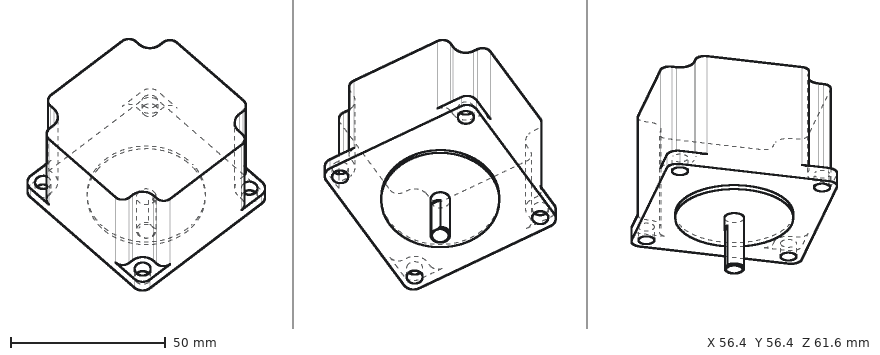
import cadquery as cq

width = 56.4
total_length = 61.6
shaft_reach = 20.6
housing_top = total_length - shaft_reach
flange_thickness = 4.85
flange_corner_radius = 3.6

hole_spacing = 47.1
hole_diameter = 5.2
relief_radius = 4.75
relief_edge_radius = 3.1

pilot_diameter = 38.2
pilot_height = 1.5
shaft_diameter = 6.35
shaft_chamfer = 0.5
flat_depth = 0.5
flat_start = 5.55


def make_flange():
    plate = cq.Workplane("XY").rect(width, width).extrude(flange_thickness)
    return plate.edges("|Z").fillet(flange_corner_radius)


def make_relief(x_sign, y_sign):
    """Cutter clearing one corner of the housing above the flange."""
    height = housing_top - flange_thickness
    side = (width - hole_spacing) / 2 + relief_radius
    center = (width - side) / 2
    block = (
        cq.Workplane("XY", origin=(0, 0, flange_thickness))
        .center(x_sign * center, y_sign * center)
        .rect(side, side)
        .extrude(height)
    )
    inner_x = ">X" if x_sign < 0 else "<X"
    inner_y = ">Y" if y_sign < 0 else "<Y"
    return block.edges(f"|Z and {inner_x} and {inner_y}").fillet(relief_radius)


def make_housing():
    height = housing_top - flange_thickness
    housing = cq.Workplane("XY", origin=(0, 0, flange_thickness)).rect(width, width).extrude(height)
    for x_sign in (-1, 1):
        for y_sign in (-1, 1):
            housing = housing.cut(make_relief(x_sign, y_sign))
    outer_edges = housing.faces("<X or >X or <Y or >Y").edges("|Z")
    return outer_edges.fillet(relief_edge_radius)


def make_shaft():
    """Chamfered shaft with a driving flat on its +Y side."""
    shaft = cq.Workplane("XY").circle(shaft_diameter / 2).extrude(-shaft_reach)
    shaft = shaft.faces("<Z").chamfer(shaft_chamfer)
    flat_length = shaft_reach - flat_start
    flat_cutter = (
        cq.Workplane("XY", origin=(0, shaft_diameter / 2 - flat_depth, -shaft_reach))
        .box(shaft_diameter, shaft_diameter, flat_length, centered=(True, False, False))
    )
    return shaft.cut(flat_cutter)


pilot = cq.Workplane("XY").circle(pilot_diameter / 2).extrude(-pilot_height)

mounting_holes = (
    cq.Workplane("XY")
    .rect(hole_spacing, hole_spacing, forConstruction=True)
    .vertices()
    .circle(hole_diameter / 2)
    .extrude(flange_thickness)
)

result = make_flange().union(make_housing()).cut(mounting_holes).union(pilot).union(make_shaft())